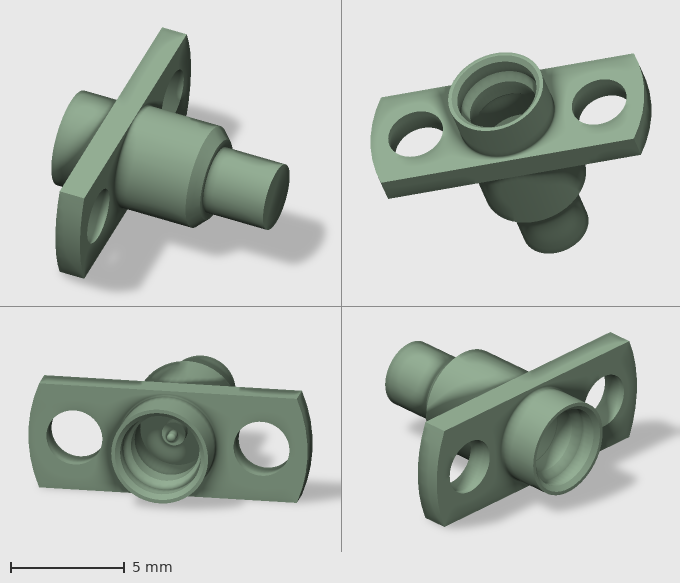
import cadquery as cq
import math

flange_front = 1.92
flange_thickness = 1.17
flange_back = flange_front + flange_thickness
body_end = 6.94
overall_length = 9.79

barrel_diameter = 4.32
body_diameter = 4.64
tail_diameter = 2.99
body_chamfer = 0.49
root_fillet = 0.07

flange_diameter = 12.46
flange_height = 4.8
screw_hole_diameter = 2.49
screw_hole_spacing = 8.35

mouth_diameter = 4.0
entry_diameter = 3.6
bore_diameter = 3.05
relief_diameter = 3.18
mouth_depth = 0.2
entry_depth = 0.88
bore_start = 1.27
bore_end = 2.14
relief_start = 2.24
socket_depth = 3.74

shoulder_diameter = 1.06
shoulder_length = 0.5
pin_diameter = 0.39
pin_length = 1.25


def revolve_about_x(outline):
    """Revolve a closed (x, radius) outline about the connector axis."""
    return outline.close().revolve(360, (0, 0, 0), (1, 0, 0))


def make_shell():
    barrel_radius = barrel_diameter / 2
    body_radius = body_diameter / 2
    tail_radius = tail_diameter / 2
    arc_inset = root_fillet * (1 - math.sqrt(0.5))
    outline = (
        cq.Workplane("XY")
        .moveTo(0, 0)
        .lineTo(0, barrel_radius)
        .lineTo(flange_front - root_fillet, barrel_radius)
        .threePointArc(
            (flange_front - arc_inset, barrel_radius + arc_inset),
            (flange_front, barrel_radius + root_fillet),
        )
        .lineTo(flange_back, body_radius + root_fillet)
        .threePointArc(
            (flange_back + arc_inset, body_radius + arc_inset),
            (flange_back + root_fillet, body_radius),
        )
        .lineTo(body_end - body_chamfer, body_radius)
        .lineTo(body_end, body_radius - body_chamfer)
        .lineTo(body_end, tail_radius)
        .lineTo(overall_length, tail_radius)
        .lineTo(overall_length, 0)
    )
    return revolve_about_x(outline)


def make_flange():
    flange_plane = cq.Workplane("YZ", origin=(flange_front, 0, 0))
    disc = flange_plane.circle(flange_diameter / 2).extrude(flange_thickness)
    band = flange_plane.rect(flange_diameter, flange_height).extrude(flange_thickness)
    half_spacing = screw_hole_spacing / 2
    holes = (
        flange_plane.pushPoints([(-half_spacing, 0), (half_spacing, 0)])
        .circle(screw_hole_diameter / 2)
        .extrude(flange_thickness)
    )
    return disc.intersect(band).cut(holes)


def make_socket():
    outline = cq.Workplane("XY").polyline([
        (0, 0),
        (0, mouth_diameter / 2),
        (mouth_depth, entry_diameter / 2),
        (entry_depth, entry_diameter / 2),
        (bore_start, bore_diameter / 2),
        (bore_end, bore_diameter / 2),
        (relief_start, relief_diameter / 2),
        (socket_depth, relief_diameter / 2),
        (socket_depth, 0),
    ])
    return revolve_about_x(outline)


def make_contact():
    pin_radius = pin_diameter / 2
    shoulder_radius = shoulder_diameter / 2
    tip = socket_depth - pin_length
    dome_centre = tip + pin_radius
    dome_offset = pin_radius * math.sqrt(0.5)
    shoulder_front = socket_depth - shoulder_length
    outline = (
        cq.Workplane("XY")
        .moveTo(tip, 0)
        .threePointArc((dome_centre - dome_offset, dome_offset), (dome_centre, pin_radius))
        .lineTo(shoulder_front, pin_radius)
        .lineTo(shoulder_front, shoulder_radius)
        .lineTo(socket_depth, shoulder_radius)
        .lineTo(socket_depth, 0)
    )
    return revolve_about_x(outline)


result = make_shell().union(make_flange()).cut(make_socket()).union(make_contact())